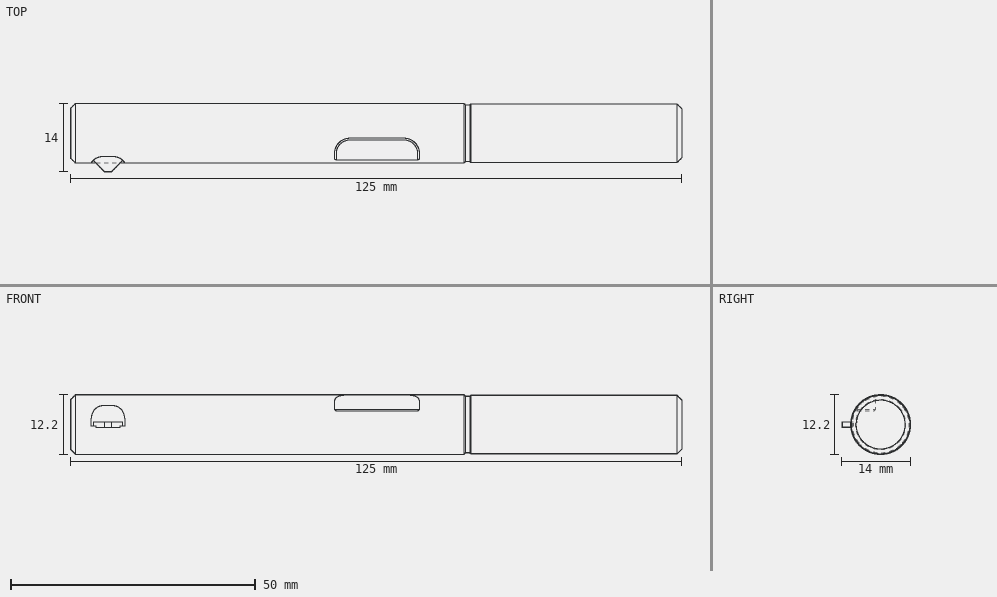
import cadquery as cq

length = 125.0
body_radius = 12.2 / 2
cap_radius = 12.0 / 2
neck_radius = 11.6 / 2
end_chamfer = 1.0
body_end = 80.8
neck_width = 0.9
neck_chamfer = 0.4
cap_start = body_end + neck_width

window_center = 62.6
window_length = 17.4
window_back = -1.0
window_floor = 2.8
window_corner_radius = 3.1
window_floor_chamfer = 0.4

notch_center = 7.6
notch_flat = 2.0
notch_back = -4.8
notch_arc_radius = 3.0
notch_floor = -0.2
tongue_tip = body_radius - 14.0
tongue_tip_width = 1.5
tongue_root_width = 7.5
tongue_thickness = 1.1

clearance = 2.5
cut_front = -body_radius - clearance
cut_top = body_radius + clearance


def make_barrel():
    """Revolve the stepped outline of the body, neck and cap."""
    neck_step = cap_radius - neck_radius
    profile = (
        cq.Workplane("XY")
        .moveTo(0, 0)
        .lineTo(0, body_radius - end_chamfer)
        .lineTo(end_chamfer, body_radius)
        .lineTo(body_end - neck_chamfer, body_radius)
        .lineTo(body_end, neck_radius)
        .lineTo(cap_start, neck_radius)
        .lineTo(cap_start + neck_step, cap_radius)
        .lineTo(length - end_chamfer, cap_radius)
        .lineTo(length, cap_radius - end_chamfer)
        .lineTo(length, 0)
        .close()
    )
    return profile.revolve(360, (0, 0, 0), (1, 0, 0))


def make_window():
    """Vertical cutter with rounded back corners and a flat floor with a chamfered rim."""
    depth = window_back - cut_front
    return (
        cq.Workplane("XY", origin=(window_center, (window_back + cut_front) / 2, window_floor))
        .rect(window_length, depth)
        .extrude(cut_top - window_floor)
        .edges("|Z and >Y")
        .fillet(window_corner_radius)
        .faces("<Z")
        .edges()
        .chamfer(window_floor_chamfer)
    )


def make_notch():
    """Vertical cutter with a short flat back between two quarter-round ends."""
    depth = notch_back - cut_front
    width = notch_flat + 2 * notch_arc_radius
    return (
        cq.Workplane("XY", origin=(notch_center, (notch_back + cut_front) / 2, notch_floor))
        .rect(width, depth)
        .extrude(cut_top - notch_floor)
        .edges("|Z and >Y")
        .fillet(notch_arc_radius)
    )


def make_tongue():
    """Flat plate that tapers from its root in the notch to a blunt tip."""
    outline = [
        (notch_center - tongue_root_width / 2, notch_back),
        (notch_center + tongue_root_width / 2, notch_back),
        (notch_center + tongue_tip_width / 2, tongue_tip),
        (notch_center - tongue_tip_width / 2, tongue_tip),
    ]
    return (
        cq.Workplane("XY", origin=(0, 0, -tongue_thickness / 2))
        .polyline(outline)
        .close()
        .extrude(tongue_thickness)
    )


result = make_barrel().cut(make_window()).cut(make_notch()).union(make_tongue())